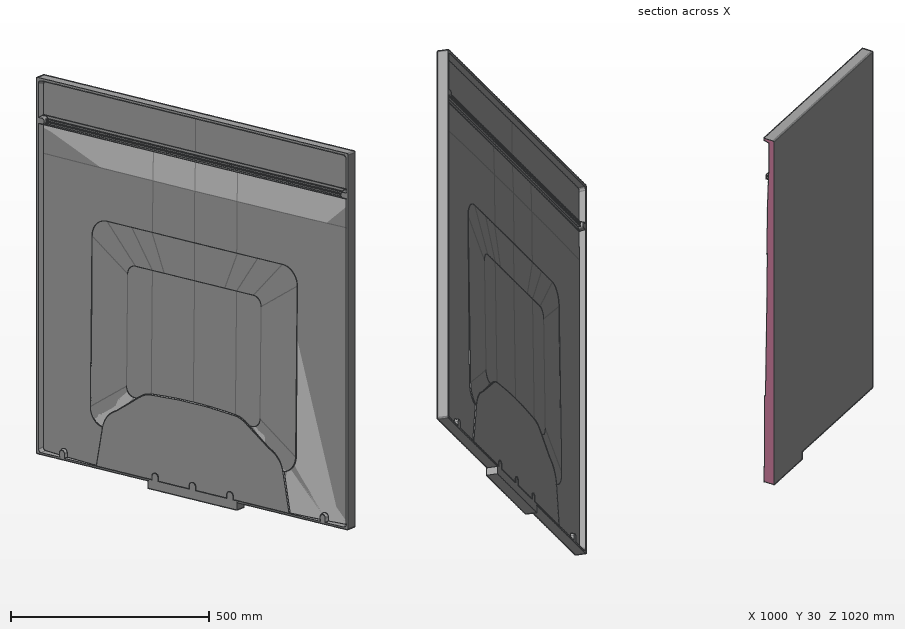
import cadquery as cq
import math

WIDTH = 1000.0
HEIGHT = 1000.0
DEPTH = 30.04
HALF_WIDTH = WIDTH / 2
CORNER_RADIUS = 4.0
BACK_EDGE_RADIUS = 3.0

TAB_WIDTH = 285.0
TAB_DROP = 20.0

RIM = 7.0
BOTTOM_RIM = 5.0
WALL_DRAFT = 5.0
BOTTOM_WALL_DRAFT = 4.0
RECESS_DEPTH = 15.0
RECESS_CORNER_RADIUS = 8.0

BEND_Z = 796.0
CREASE_X = 135.0
BOW_X = 329.0
TOP_MIDDLE_DEPTH = 14.0
RIB_MIDDLE_DEPTH = 13.0
RIB_CREASE_DEPTH = 13.5
RIB_BOW_DEPTH = 14.0
BEND_MIDDLE_DEPTH = 10.0
BEND_CREASE_DEPTH = 11.0
BEND_BOW_DEPTH = 12.0
BOTTOM_MIDDLE_DEPTH = 1.5
BOTTOM_CREASE_DEPTH = 2.0
BOTTOM_BOW_DEPTH = 4.5

RIB_Z = 886.0
PAD_HEIGHT = 26.0
PAD_FRONT_Y = 12.5
RIB_HEIGHT = 12.0
RIB_GAP = 4.0
RIB_FRONT_Y = 6.0

BOSS_ROOT = 3.0
RIB_BOSS_LENGTH = 25.0
RIB_BOSS_RADIUS = 8.0
RIB_BOSS_FLARE = 5.0
QUARTER_TURN = 90.0
TAB_BOSS_PITCH = 120.0
TAB_BOSS_LENGTH = 24.5
TAB_BOSS_RADIUS = 10.0
TAB_BOSS_FLARE = 2.0
CORNER_BOSS_X = 418.0
CORNER_BOSS_LENGTH = 25.0
CORNER_BOSS_RADIUS = 8.0
CORNER_BOSS_FLARE = 5.0

DISH_LEAN = 0.0145
DISH_EDGE_DEPTH = 0.2
DISH_DEPTH = 0.4
DISH_BLOCK_BACK = 12.0
DISH_MIDDLE_FALL = 0.3
DISH_CREASE_FALL = 0.2
DISH_TOP = 659.0
DISH_BOTTOM = 111.0
DISH_HALF_WIDTH = 329.0
DISH_RADIUS = 48.0
DISH_EDGE_SEAMS = (0.0, 137.0, 202.0)
DISH_FLOOR_TOP = 558.5
DISH_FLOOR_BOTTOM = 211.0
DISH_FLOOR_HALF_WIDTH = 214.0
DISH_FLOOR_RADIUS = 25.0
DISH_FLOOR_SEAMS = (0.0, 97.0, CREASE_X)

PLATE_FRONT_Y = 1.5
PLATE_THICKNESS = 4.0
PLATE_FOOT_X = 309.0
PLATE_SHOULDER = (289.0, 112.0)
PLATE_SHOULDER_MID = (275.0, 142.0)
PLATE_SLOPE_START = (245.0, 164.0)
PLATE_SLOPE_END = (167.0, 218.0)
PLATE_CROWN_MID = (153.0, 225.0)
PLATE_CROWN_START = (137.0, 229.0)
PLATE_CROWN_TOP = 235.0
PLATE_SIDE_SLOPE = 40.0

BACK_Y = RECESS_DEPTH + 2.0


def mirrored(points):
    """The same points on the -X side, in reverse order."""
    return [(-x, other) for x, other in reversed(points)]


def rounded_rectangle(half_width, bottom, top, radius, y, seams=()):
    """Wire of a rounded rectangle, centred on x = 0 and lying at depth y.

    Its top edge is divided at the seams, which are given from x = 0 outwards.
    """
    side = half_width - radius
    low = bottom + radius
    high = top - radius
    left_seams = [-x for x in seams if x > 0]
    outline = (
        cq.Workplane("XZ", origin=(0, y, 0))
        .moveTo(-side, bottom)
        .lineTo(side, bottom)
        .radiusArc((half_width, low), -radius)
        .lineTo(half_width, high)
        .radiusArc((side, top), -radius)
    )
    for x in list(reversed(seams)) + left_seams + [-side]:
        outline = outline.lineTo(x, top)
    outline = (
        outline.radiusArc((-half_width, high), -radius)
        .lineTo(-half_width, low)
        .radiusArc((-side, bottom), -radius)
        .close()
    )
    return outline.val()


def ruled_block(wires):
    """Solid with straight sides between successive wires."""
    return cq.Workplane(cq.Solid.makeLoft(wires, True))


def creased_section(z, middle_depth, crease_depth, bow_depth):
    """Cross-section at height z of the space in front of the floor, bowed beyond the creases."""
    return (
        cq.Workplane("XY", origin=(0, 0, z))
        .moveTo(HALF_WIDTH, 0)
        .lineTo(HALF_WIDTH, RECESS_DEPTH)
        .threePointArc((BOW_X, bow_depth), (CREASE_X, crease_depth))
        .lineTo(0, middle_depth)
        .lineTo(-CREASE_X, crease_depth)
        .threePointArc((-BOW_X, bow_depth), (-HALF_WIDTH, RECESS_DEPTH))
        .lineTo(-HALF_WIDTH, 0)
        .close()
        .val()
    )


def space_above_floor():
    """Space in front of the floor, over the whole height of the panel."""
    bottom = creased_section(0, BOTTOM_MIDDLE_DEPTH, BOTTOM_CREASE_DEPTH, BOTTOM_BOW_DEPTH)
    bend = creased_section(BEND_Z, BEND_MIDDLE_DEPTH, BEND_CREASE_DEPTH, BEND_BOW_DEPTH)
    rib = creased_section(RIB_Z, RIB_MIDDLE_DEPTH, RIB_CREASE_DEPTH, RIB_BOW_DEPTH)
    side = [(HALF_WIDTH, 0), (HALF_WIDTH, RECESS_DEPTH)]
    top_strip = (
        cq.Workplane("XY", origin=(0, 0, RIB_Z))
        .polyline(side + [(0, TOP_MIDDLE_DEPTH)] + mirrored(side))
        .close()
        .extrude(HEIGHT - RIB_Z)
    )
    return ruled_block([bottom, bend]).union(ruled_block([bend, rib])).union(top_strip)


def slab(width, height, centre_z, front_y):
    """Bar centred on x = 0, from depth front_y to the back of the recess floor."""
    length_y = BACK_Y - front_y
    return (
        cq.Workplane("XY")
        .box(width, length_y, height, centered=(True, False, True))
        .translate((0, front_y, centre_z))
    )


def make_body():
    """Outer block with its tab."""
    body = (
        cq.Workplane("XY")
        .box(WIDTH, DEPTH, HEIGHT, centered=(True, False, False))
        .edges("|Y")
        .fillet(CORNER_RADIUS)
        .faces(">Y")
        .edges()
        .fillet(BACK_EDGE_RADIUS)
    )
    tab = (
        cq.Workplane("XY")
        .box(TAB_WIDTH, DEPTH, TAB_DROP + BOTTOM_RIM, centered=(True, False, False))
        .translate((0, 0, -TAB_DROP))
    )
    return body.union(tab)


def make_recess():
    """Cutter for the drafted recess, ending on the creased floor."""
    mouth = rounded_rectangle(
        HALF_WIDTH - RIM, BOTTOM_RIM, HEIGHT - RIM, RECESS_CORNER_RADIUS, 0
    )
    foot = rounded_rectangle(
        HALF_WIDTH - RIM - WALL_DRAFT,
        BOTTOM_RIM + BOTTOM_WALL_DRAFT,
        HEIGHT - RIM - WALL_DRAFT,
        RECESS_CORNER_RADIUS,
        BACK_Y,
    )
    return ruled_block([mouth, foot]).intersect(space_above_floor())


def lean(shape):
    """Tilt a shape about the X axis so that its depth grows with height."""
    return shape.rotate((0, 0, 0), (1, 0, 0), -math.degrees(math.atan(DISH_LEAN)))


def dish_outline(y):
    """Outer edge of the dish at depth y, before it leans."""
    return rounded_rectangle(
        DISH_HALF_WIDTH, DISH_BOTTOM, DISH_TOP, DISH_RADIUS, y, DISH_EDGE_SEAMS
    )


def dish_floor_outline(y):
    """Edge of the dish floor at depth y, before it leans."""
    return rounded_rectangle(
        DISH_FLOOR_HALF_WIDTH,
        DISH_FLOOR_BOTTOM,
        DISH_FLOOR_TOP,
        DISH_FLOOR_RADIUS,
        y,
        DISH_FLOOR_SEAMS,
    )


def make_dish_column():
    """Straight column over the whole outline of the dish, passing through the recess floor."""
    return lean(ruled_block([dish_outline(-DEPTH), dish_outline(DISH_BLOCK_BACK)]))


def make_dish_block():
    """Material of the column behind the sloping sides and creased floor of the dish."""
    floor_depth = DISH_EDGE_DEPTH + DISH_DEPTH
    side = [
        (DISH_FLOOR_HALF_WIDTH, -DEPTH),
        (DISH_FLOOR_HALF_WIDTH, floor_depth),
        (CREASE_X, floor_depth + DISH_CREASE_FALL),
    ]
    creases = (
        cq.Workplane("XY")
        .polyline(side + [(0, floor_depth + DISH_MIDDLE_FALL)] + mirrored(side))
        .close()
        .extrude(DISH_TOP)
    )
    floor_column = ruled_block([dish_floor_outline(-DEPTH), dish_floor_outline(DISH_BLOCK_BACK)])
    floor_space = floor_column.intersect(creases)
    block = ruled_block([dish_outline(DISH_EDGE_DEPTH), dish_outline(DISH_BLOCK_BACK)])
    slopes = ruled_block([dish_outline(DISH_EDGE_DEPTH), dish_floor_outline(floor_depth)])
    return lean(block.cut(slopes, clean=False).cut(floor_space, clean=False))


def make_plate():
    """Arched plate, its sides sloping out down to the floor."""
    left_slope = mirrored([PLATE_SHOULDER, PLATE_SHOULDER_MID, PLATE_SLOPE_START])
    left_crown = mirrored([PLATE_SLOPE_END, PLATE_CROWN_MID, PLATE_CROWN_START])
    return (
        cq.Workplane("XZ", origin=(0, PLATE_FRONT_Y, 0))
        .moveTo(PLATE_FOOT_X, BOTTOM_RIM)
        .lineTo(*PLATE_SHOULDER)
        .threePointArc(PLATE_SHOULDER_MID, PLATE_SLOPE_START)
        .lineTo(*PLATE_SLOPE_END)
        .threePointArc(PLATE_CROWN_MID, PLATE_CROWN_START)
        .threePointArc((0, PLATE_CROWN_TOP), left_crown[0])
        .threePointArc(left_crown[1], left_crown[2])
        .lineTo(*left_slope[0])
        .threePointArc(left_slope[1], left_slope[2])
        .lineTo(-PLATE_FOOT_X, BOTTOM_RIM)
        .close()
        .extrude(-PLATE_THICKNESS, taper=-PLATE_SIDE_SLOPE)
    )


def make_double_rib():
    """Two parallel ribs on their pad, reaching from side wall to side wall."""
    length = WIDTH - 2 * RIM
    pad = slab(length, PAD_HEIGHT, RIB_Z, PAD_FRONT_Y)
    rib = slab(length, RIB_HEIGHT, RIB_Z, RIB_FRONT_Y)
    gap = slab(length, RIB_GAP, RIB_Z, RIB_FRONT_Y)
    return rib.cut(gap).union(pad)


def boss_outline(length, radius, y):
    """Wire of a bar rooted in the rim, with a round end at z = length, on x = 0 at depth y."""
    shoulder = length - radius
    return (
        cq.Workplane("XZ", origin=(0, y, 0))
        .moveTo(-radius, BOSS_ROOT)
        .lineTo(radius, BOSS_ROOT)
        .lineTo(radius, shoulder)
        .radiusArc((-radius, shoulder), -radius)
        .close()
        .val()
    )


def make_boss(length, radius, flare):
    """Round-ended boss, standing up from the bottom rim and level with it at the front."""
    front = boss_outline(length, radius, 0)
    foot = boss_outline(length + flare, radius + flare, BACK_Y)
    return ruled_block([front, foot])


def make_bosses():
    """All the bosses: three over the tab, two near the bottom corners, two at the rib ends."""
    bosses = []
    tab_boss = make_boss(TAB_BOSS_LENGTH, TAB_BOSS_RADIUS, TAB_BOSS_FLARE)
    for step in (-1, 0, 1):
        bosses.append(tab_boss.translate((step * TAB_BOSS_PITCH, 0, 0)))
    corner_boss = make_boss(CORNER_BOSS_LENGTH, CORNER_BOSS_RADIUS, CORNER_BOSS_FLARE)
    rib_boss = make_boss(RIB_BOSS_LENGTH, RIB_BOSS_RADIUS, RIB_BOSS_FLARE)
    for side in (-1, 1):
        bosses.append(corner_boss.translate((side * CORNER_BOSS_X, 0, 0)))
        turned = rib_boss.rotate((0, 0, 0), (0, 1, 0), -side * QUARTER_TURN)
        bosses.append(turned.translate((side * HALF_WIDTH, 0, RIB_Z)))
    return bosses


def make_hollow():
    """Whole space inside the rim: the recess with the dish, less everything that stands in it.

    The seams on the dish lie between coplanar faces, so nothing here is merged.
    """
    column = make_dish_column()
    hollow = make_recess().cut(column, clean=False)
    hollow = hollow.union(column.cut(make_dish_block(), clean=False), clean=False)
    for feature in [make_plate(), make_double_rib()] + make_bosses():
        hollow = hollow.cut(feature, clean=False)
    return hollow


result = make_body().cut(make_hollow(), clean=False)